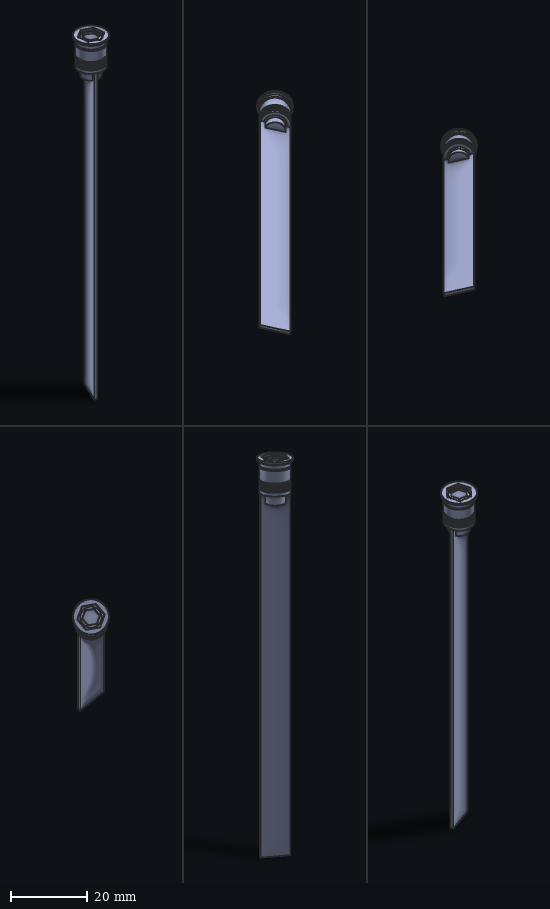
import cadquery as cq
import math

TOTAL_LENGTH = 109.5

FLANGE_RADIUS = 4.75
FLANGE_THICKNESS = 0.6
BODY_RADIUS = 4.2
BODY_BOTTOM = 9.55
STEM_RADIUS = 2.8
STEM_BOTTOM = 12.4
ROOT_CONE = 0.4

V_GROOVE_TOP = 2.05
V_GROOVE_WIDTH = 0.5
V_GROOVE_DEPTH = 0.2

SEAL_TOP = 6.0
SEAL_BOTTOM = 8.25
SEAL_INNER_RADIUS = 3.75
SEAL_CHAMFER = 0.25
SEAL_NOTCH_DEPTH = 0.1
SEAL_NOTCH_WIDTH = 0.45
SEAL_NOTCH_TOPS = (6.4, 7.15)

RECESS_ACROSS_FLATS = 6.35
RECESS_DEPTH = 0.7
BOSS_RADIUS = STEM_RADIUS
BOSS_TOP = 0.3
BOSS_FILLET = 0.35
SOCKET_ACROSS_FLATS = 4.1
SOCKET_BOTTOM = 1.0

BLADE_WIDTH = 8.2
BLADE_THICKNESS = 0.9


def hexagon(across_flats, top, bottom):
    """Hexagonal prism with two of its corners on the Y axis."""
    across_corners = across_flats / math.cos(math.pi / 6)
    prism = cq.Workplane("XY").workplane(offset=-bottom).polygon(6, across_corners).extrude(bottom - top)
    return prism.rotate((0, 0, 0), (0, 0, 1), 30)


def spin(outline):
    """Turn a closed XZ half outline about the Z axis."""
    return outline.close().revolve(360, (0, 0, 0), (0, 1, 0))


def make_body_blank():
    """Flange, body and stem, with the V groove and the seal groove."""
    v_groove_middle = V_GROOVE_TOP + V_GROOVE_WIDTH / 2
    return spin(
        cq.Workplane("XZ")
        .moveTo(0, 0)
        .lineTo(FLANGE_RADIUS, 0)
        .lineTo(FLANGE_RADIUS, -FLANGE_THICKNESS)
        .lineTo(BODY_RADIUS + ROOT_CONE, -FLANGE_THICKNESS)
        .lineTo(BODY_RADIUS, -FLANGE_THICKNESS - ROOT_CONE)
        .lineTo(BODY_RADIUS, -V_GROOVE_TOP)
        .lineTo(BODY_RADIUS - V_GROOVE_DEPTH, -v_groove_middle)
        .lineTo(BODY_RADIUS, -V_GROOVE_TOP - V_GROOVE_WIDTH)
        .lineTo(BODY_RADIUS, -SEAL_TOP)
        .lineTo(SEAL_INNER_RADIUS, -SEAL_TOP)
        .lineTo(SEAL_INNER_RADIUS, -SEAL_BOTTOM)
        .lineTo(BODY_RADIUS - SEAL_CHAMFER, -SEAL_BOTTOM)
        .lineTo(BODY_RADIUS, -SEAL_BOTTOM - SEAL_CHAMFER)
        .lineTo(BODY_RADIUS, -BODY_BOTTOM)
        .lineTo(STEM_RADIUS + ROOT_CONE, -BODY_BOTTOM)
        .lineTo(STEM_RADIUS, -BODY_BOTTOM - ROOT_CONE)
        .lineTo(STEM_RADIUS, -STEM_BOTTOM)
        .lineTo(0, -STEM_BOTTOM)
    )


def make_recess():
    """Material removed from the flange top: hexagonal recess round a boss, and the socket in the boss."""
    boss = (
        cq.Workplane("XY")
        .workplane(offset=-RECESS_DEPTH)
        .circle(BOSS_RADIUS)
        .extrude(RECESS_DEPTH - BOSS_TOP)
        .faces(">Z")
        .edges()
        .fillet(BOSS_FILLET)
    )
    socket = hexagon(SOCKET_ACROSS_FLATS, BOSS_TOP, SOCKET_BOTTOM)
    return hexagon(RECESS_ACROSS_FLATS, 0, RECESS_DEPTH).cut(boss).union(socket)


def make_seal():
    """Ring flush with the body, chamfered at both ends and notched between them."""
    outline = (
        cq.Workplane("XZ")
        .moveTo(SEAL_INNER_RADIUS, -SEAL_TOP)
        .lineTo(BODY_RADIUS - SEAL_CHAMFER, -SEAL_TOP)
        .lineTo(BODY_RADIUS, -SEAL_TOP - SEAL_CHAMFER)
    )
    for notch_top in SEAL_NOTCH_TOPS:
        notch_middle = notch_top + SEAL_NOTCH_WIDTH / 2
        outline = (
            outline.lineTo(BODY_RADIUS, -notch_top)
            .lineTo(BODY_RADIUS - SEAL_NOTCH_DEPTH, -notch_middle)
            .lineTo(BODY_RADIUS, -notch_top - SEAL_NOTCH_WIDTH)
        )
    return spin(
        outline.lineTo(BODY_RADIUS, -SEAL_BOTTOM + SEAL_CHAMFER)
        .lineTo(BODY_RADIUS - SEAL_CHAMFER, -SEAL_BOTTOM)
        .lineTo(SEAL_INNER_RADIUS, -SEAL_BOTTOM)
    )


def make_blade():
    """Flat strip whose top edge meets the underside of the body."""
    length = TOTAL_LENGTH - BODY_BOTTOM
    strip = cq.Workplane("XY").box(BLADE_WIDTH, BLADE_THICKNESS, length, centered=(True, True, False))
    return strip.translate((0, 0, -TOTAL_LENGTH))


blade = make_blade()
seal = make_seal()
plug = make_body_blank().cut(make_recess()).cut(blade)

result = cq.Compound.makeCompound([plug.val(), seal.val(), blade.val()])